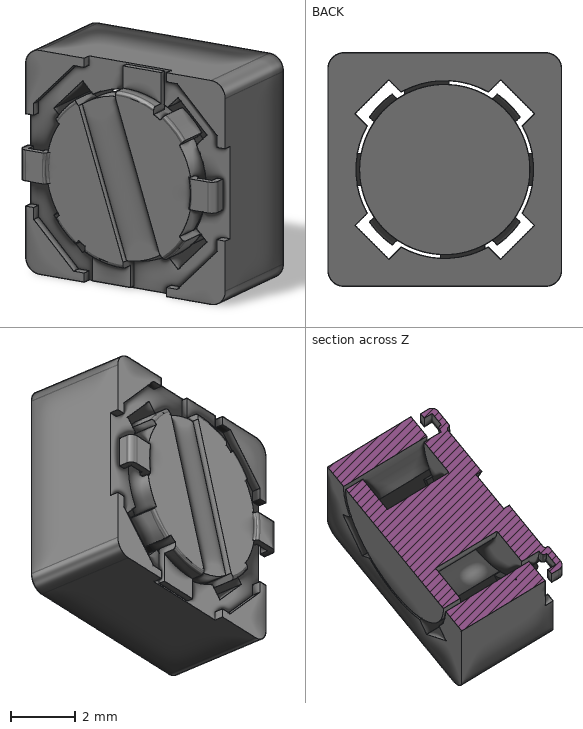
import cadquery as cq
import math


side = 7.3
shield_depth = 3.49
shield_corner_radius = 0.51
bore_radius = 2.775

recess_depth = 0.3
recess_opening = 1.505
pad_inset = 0.3
pad_bevel_start = 1.89

slot_reach = 3.21
slot_width = 1.49

core_radius = 2.66
core_height = 0.15
flange_thickness = 0.66
neck_radius = 1.315

sheet = 0.21
groove_width = 1.415
groove_slope = 3.0
tab_width = 1.01
tab_depth = 0.73
bend_radius = 0.11
foot_end = 3.59
foot_width = 1.395
clip_height = 0.51
clip_outer_x = 3.56
clip_bend_radius = 0.22

plate_top = core_height + sheet
rim_radius = core_radius + sheet
half = side / 2
groove_tilt = math.degrees(math.atan(groove_slope))
groove_end_angle = math.acos(groove_width / 2 / core_radius)
groove_normal_angle = math.atan(1 / groove_slope)
foot_start_x = core_radius * math.cos(groove_normal_angle + groove_end_angle)


def face_plane(height):
    """Sketch plane parallel to the shield's face; it extrudes toward -Y."""
    return cq.Workplane("XZ", origin=(0, -height, 0))


def slab(bottom, top, x_range, z_range):
    """Box between two heights above the shield's face."""
    return cq.Workplane("XY").box(
        x_range[1] - x_range[0], top - bottom, z_range[1] - z_range[0], centered=False
    ).translate((x_range[0], -top, z_range[0]))


def on_diagonals(body):
    """Copies of a body lying along +X, turned onto the four diagonals."""
    copies = [body.rotate((0, 0, 0), (0, 1, 0), angle) for angle in (45, 135, 225, 315)]
    return copies[0].union(copies[1]).union(copies[2]).union(copies[3])


def make_shield():
    shield = face_plane(-shield_depth).rect(side, side).extrude(shield_depth)
    shield = shield.edges("|Y").fillet(shield_corner_radius)

    rim = half - pad_inset
    quarter = [
        (half, recess_opening),
        (rim, recess_opening),
        (rim, pad_bevel_start),
        (pad_bevel_start, rim),
        (recess_opening, rim),
        (recess_opening, half),
    ]
    outline = quarter + [(-x, z) for x, z in reversed(quarter)]
    outline += [(-x, -z) for x, z in quarter] + [(x, -z) for x, z in reversed(quarter)]
    recess = face_plane(-recess_depth).polyline(outline).close().extrude(recess_depth)

    bore = face_plane(-shield_depth).circle(bore_radius).extrude(shield_depth)
    slot = slab(-shield_depth, 0, (0, slot_reach), (-slot_width / 2, slot_width / 2))
    return shield.cut(recess).cut(bore).cut(on_diagonals(slot))


def make_core():
    neck = face_plane(-shield_depth).circle(neck_radius).extrude(shield_depth)
    back_flange = face_plane(-shield_depth).circle(core_radius).extrude(flange_thickness)
    front_flange = face_plane(core_height).circle(core_radius).extrude(-flange_thickness)
    return neck.union(back_flange).union(front_flange)


def make_rim(depth):
    """Ring of sheet turned down around the core, rounded at its front edge."""
    return (
        cq.Workplane("XY")
        .moveTo(core_radius, depth)
        .lineTo(core_radius, -plate_top)
        .lineTo(rim_radius - bend_radius, -plate_top)
        .radiusArc((rim_radius, -plate_top + bend_radius), -bend_radius)
        .lineTo(rim_radius, depth)
        .close()
        .revolve(360, (0, 0, 0), (0, 1, 0))
    )


def make_tabs():
    tab_zone = slab(-tab_depth, plate_top, (0, half), (-tab_width / 2, tab_width / 2))
    return make_rim(tab_depth).intersect(on_diagonals(tab_zone))


def make_plates():
    disc = face_plane(core_height).circle(core_radius).extrude(sheet)
    groove = (
        face_plane(core_height)
        .transformed(rotate=(0, 0, -groove_tilt))
        .rect(side, groove_width)
        .extrude(sheet)
    )
    return disc.cut(groove)


def make_foot():
    """Upper foot: a wall down the rim, then a flat tongue on the recess floor."""
    x_range = (foot_start_x, foot_start_x + foot_width)
    wall_zone = slab(-recess_depth, plate_top, x_range, (0, half))
    wall = make_rim(recess_depth).intersect(wall_zone)
    tongue = slab(-recess_depth, sheet - recess_depth, x_range, (0, foot_end))
    core_space = face_plane(-recess_depth).circle(core_radius).extrude(recess_depth)
    return wall.union(tongue.cut(core_space))


def make_clip():
    """Solder clip on the +X side: an outer leg and a flat, stepped down to the plate's rim."""
    clip_back = clip_height - sheet
    leg_and_flat = (
        cq.Workplane("XY", origin=(0, 0, -tab_width / 2))
        .polyline([
            (clip_outer_x, 0),
            (clip_outer_x, -clip_height),
            (core_radius, -clip_height),
            (core_radius, -clip_back),
            (clip_outer_x - sheet, -clip_back),
            (clip_outer_x - sheet, 0),
        ])
        .close()
        .extrude(tab_width)
    )
    leg_and_flat = leg_and_flat.edges("|Z and >X and <Y").fillet(clip_bend_radius)
    leg_and_flat = leg_and_flat.cut(face_plane(0).circle(rim_radius).extrude(clip_height))

    step_radius = (clip_height - plate_top) / 2
    step_ring = (
        cq.Workplane("XY")
        .moveTo(core_radius - step_radius, -core_height)
        .lineTo(core_radius - step_radius, -plate_top)
        .radiusArc((core_radius, -plate_top - step_radius), step_radius)
        .radiusArc((core_radius + step_radius, -clip_height), -step_radius)
        .lineTo(rim_radius, -clip_height)
        .lineTo(rim_radius, -core_height - bend_radius)
        .radiusArc((rim_radius - bend_radius, -core_height), -bend_radius)
        .close()
        .revolve(360, (0, 0, 0), (0, 1, 0))
    )
    step_zone = slab(core_height, clip_height, (0, half), (-tab_width / 2, tab_width / 2))
    return leg_and_flat.union(step_ring.intersect(step_zone))


def half_turn(body):
    return body.rotate((0, 0, 0), (0, 1, 0), 180)


foot = make_foot()
clip = make_clip()
result = make_shield().union(make_core()).union(make_plates()).union(make_tabs())
for terminal_part in (foot, clip):
    result = result.union(terminal_part).union(half_turn(terminal_part))